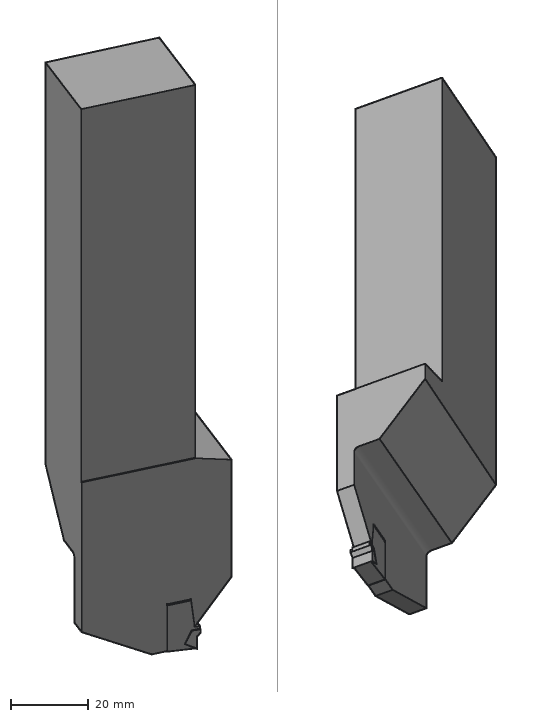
import cadquery as cq

total_height = 171.4
total_depth = 41.8
total_width = 26.0

shank_depth = 31.9
shank_right = 25.2
side_taper = 0.43
ledge_inner_z = 58.0
ledge_outer_z = 55.2

shoulder_top_z = 49.5
shoulder_bottom_z = 33.2
shoulder_bottom_x = 13.2
shoulder_fillet = 1.5

blade_left = 20.5
blade_right = 25.5
blade_bottom_z = 1.0
blade_back_z = 19.5
blade_front_z = 12.3
blade_front_flat_y = 19.5

insert_front_y = 23.8
insert_top_back_y = 30.5
insert_neck_y = 31.5
insert_neck_z = 6.7
insert_top_z = 14.9
pocket_gap = 0.43
pocket_top_z = insert_top_z + pocket_gap

tip_y = 32.0
chip_lip_y = 33.0
head_overhang = total_width - blade_right
tip_drop_z = 0.9
chip_lip_bottom_z = 5.0
chip_lip_top_z = 6.5
chip_face_top_z = 3.8
head_top_z = 5.8
head_shoulder_y = 30.7
head_root_y = 28.8
head_root_z = 2.0


def side_prism(outline, left, right):
    """Solid with a (Y, Z) outline, running from X = left to X = right."""
    return (
        cq.Workplane("YZ", origin=(left, 0, 0))
        .polyline(outline)
        .close()
        .extrude(right - left)
    )


def make_side_profile():
    """Side silhouette of the holder, with the ledge and the pointed blade end."""
    return side_prism(
        [
            (0, total_height),
            (shank_depth, total_height),
            (shank_depth, ledge_inner_z),
            (total_depth, ledge_outer_z),
            (total_depth, blade_back_z),
            (insert_neck_y, insert_neck_z),
            (insert_neck_y, blade_bottom_z),
            (blade_front_flat_y, blade_bottom_z),
            (0, blade_front_z),
        ],
        0,
        blade_right,
    )


def make_front_profile():
    """Front silhouette of the holder: shank, sloped shoulder and thin blade."""
    return (
        cq.Workplane("XZ")
        .moveTo(0, total_height)
        .lineTo(shank_right, total_height)
        .lineTo(shank_right, ledge_inner_z)
        .lineTo(blade_right, ledge_inner_z)
        .lineTo(blade_right, 0)
        .lineTo(blade_left, 0)
        .lineTo(blade_left, shoulder_bottom_z - shoulder_fillet)
        .radiusArc((blade_left - shoulder_fillet, shoulder_bottom_z), -shoulder_fillet)
        .lineTo(shoulder_bottom_x, shoulder_bottom_z)
        .lineTo(0, shoulder_top_z)
        .close()
        .extrude(-total_depth)
    )


def make_side_taper():
    """Thin wedge that leans the left face inward toward the front."""
    return (
        cq.Workplane("XY")
        .polyline([(0, 0), (side_taper, 0), (0, total_depth)])
        .close()
        .extrude(total_height)
    )


def make_pocket():
    """Slot through the blade that receives the insert."""
    return side_prism(
        [
            (insert_front_y, 0),
            (insert_front_y, pocket_top_z),
            (insert_top_back_y, pocket_top_z),
            (insert_neck_y, insert_neck_z),
            (insert_neck_y, 0),
        ],
        blade_left,
        blade_right,
    )


def make_holder():
    holder = make_side_profile().intersect(make_front_profile())
    return holder.cut(make_side_taper()).cut(make_pocket())


def make_head_plan():
    """Plan outline that narrows the head to the blade thickness at its root."""
    return (
        cq.Workplane("XY")
        .polyline(
            [
                (blade_left, head_root_y),
                (blade_right, head_root_y),
                (total_width, chip_lip_y),
                (blade_left - head_overhang, chip_lip_y),
            ]
        )
        .close()
        .extrude(head_top_z)
    )


def make_insert():
    body = side_prism(
        [
            (insert_front_y, tip_drop_z),
            (insert_front_y, insert_top_z),
            (insert_top_back_y, insert_top_z),
            (insert_neck_y, insert_neck_z),
            (chip_lip_y, chip_lip_top_z),
            (chip_lip_y, chip_lip_bottom_z),
            (tip_y, chip_face_top_z),
            (tip_y, 0),
        ],
        blade_left,
        blade_right,
    )
    head = side_prism(
        [
            (tip_y, 0),
            (tip_y, chip_face_top_z),
            (chip_lip_y, chip_lip_bottom_z),
            (chip_lip_y, head_top_z),
            (head_shoulder_y, head_top_z),
            (head_root_y, head_root_z),
        ],
        blade_left - head_overhang,
        total_width,
    )
    return body.union(head.intersect(make_head_plan()))


holder = make_holder()
insert = make_insert()

result = cq.Compound.makeCompound([holder.solids().val(), insert.solids().val()])